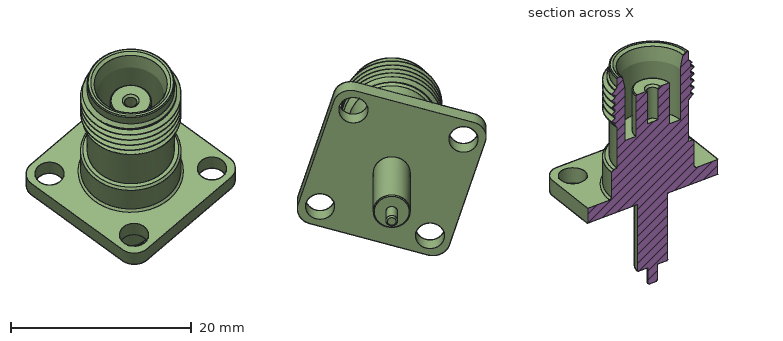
import cadquery as cq
import math

overall_height = 28.9
insulator_bottom = 2.22
flange_bottom = 11.1
flange_top = 13.12
collar_top = 16.95
thread_bottom = 22.33
thread_top = 27.65

flange_side = 17.5
flange_corner_radius = 1.95
mount_hole_diameter = 3.2
mount_hole_spacing = 12.7

pin_radius = 1.3 / 2
pin_chamfer = 0.17
insulator_radius = 4.1 / 2
insulator_chamfer = 0.12
collar_radius = 11.12 / 2
collar_chamfer = 0.25
barrel_radius = 9.65 / 2
rim_chamfer = 0.12

thread_major_radius = 11.12 / 2
thread_root_radius = 5.08
thread_pitch = 4.55 / 5
thread_crest_width = 0.1
thread_flank_angle = 30.0
thread_crest_height = 23.08

mouth_radius = 4.42
taper_top_radius = 4.05
mouth_chamfer_depth = 0.25
taper_depth = 2.0
bore_radius = 3.67
socket_floor = 20.22
core_top = 25.65
core_radius = 4.56 / 2
core_chamfer = 0.12
contact_mouth_radius = 1.85 / 2
contact_hole_radius = 1.35 / 2
contact_hole_depth = 4.33


def revolved(profile):
    """Turn a closed (radius, height) outline about the Z axis."""
    return cq.Workplane("XZ").polyline(profile).close().revolve(360, (0, 0, 0), (0, 1, 0))


def make_flange():
    plate = (
        cq.Workplane("XY", origin=(0, 0, flange_bottom))
        .rect(flange_side, flange_side)
        .extrude(flange_top - flange_bottom)
        .edges("|Z")
        .fillet(flange_corner_radius)
    )
    return (
        plate.faces(">Z")
        .workplane(origin=(0, 0, flange_top))
        .rect(mount_hole_spacing, mount_hole_spacing, forConstruction=True)
        .vertices()
        .hole(mount_hole_diameter)
    )


def make_tail():
    """Insulator and solder pin below the flange."""
    return revolved([
        (0, 0),
        (pin_radius - pin_chamfer, 0),
        (pin_radius, pin_chamfer),
        (pin_radius, insulator_bottom),
        (insulator_radius - insulator_chamfer, insulator_bottom),
        (insulator_radius, insulator_bottom + insulator_chamfer),
        (insulator_radius, flange_top),
        (0, flange_top),
    ])


def make_body():
    """Collar and barrel above the flange, with an uncut ring where the thread goes."""
    ring_chamfer = thread_major_radius - barrel_radius
    return revolved([
        (0, flange_top),
        (collar_radius + collar_chamfer, flange_top),
        (collar_radius, flange_top + collar_chamfer),
        (collar_radius, collar_top - collar_chamfer),
        (collar_radius - collar_chamfer, collar_top),
        (barrel_radius, collar_top),
        (barrel_radius, thread_bottom),
        (thread_major_radius, thread_bottom + ring_chamfer),
        (thread_major_radius, thread_top - ring_chamfer),
        (barrel_radius, thread_top),
        (barrel_radius, overall_height - rim_chamfer),
        (barrel_radius - rim_chamfer, overall_height),
        (0, overall_height),
    ])


def make_groove_turn():
    """One turn of the helical groove, starting at height zero on the +X side."""
    clearance = 0.03
    flank_slope = math.tan(math.radians(thread_flank_angle))
    thread_depth = thread_major_radius - thread_root_radius
    half_at_major = (thread_pitch - thread_crest_width) / 2
    half_at_root = half_at_major - thread_depth * flank_slope
    half_at_outside = half_at_major + clearance * flank_slope
    outer_radius = thread_major_radius + clearance
    profile = [
        (thread_root_radius, -half_at_root),
        (outer_radius, -half_at_outside),
        (outer_radius, half_at_outside),
        (thread_root_radius, half_at_root),
    ]
    helix = cq.Wire.makeHelix(thread_pitch, thread_pitch, thread_root_radius)
    return cq.Workplane("XZ").polyline(profile).close().sweep(cq.Workplane(helix), isFrenet=True)


def cut_thread(body):
    """Cut the groove turn by turn, running out through both chamfers of the ring."""
    turns_below = math.ceil((thread_crest_height - thread_bottom) / thread_pitch)
    start = thread_crest_height - (turns_below + 0.5) * thread_pitch
    turn_count = math.ceil((thread_top - start) / thread_pitch) + 1
    groove_turn = make_groove_turn()
    for turn in range(turn_count):
        height = start + turn * thread_pitch
        body = body.cut(groove_turn.translate((0, 0, height)), clean=False)
    return body


def make_socket():
    """Tapered annular socket around the insulator core, open at the top."""
    cavity = revolved([
        (0, socket_floor),
        (bore_radius, socket_floor),
        (bore_radius, overall_height - taper_depth),
        (taper_top_radius, overall_height - mouth_chamfer_depth),
        (mouth_radius, overall_height),
        (0, overall_height),
    ])
    contact_chamfer = contact_mouth_radius - contact_hole_radius
    core = revolved([
        (0, socket_floor),
        (core_radius, socket_floor),
        (core_radius, core_top - core_chamfer),
        (core_radius - core_chamfer, core_top),
        (contact_mouth_radius, core_top),
        (contact_hole_radius, core_top - contact_chamfer),
        (contact_hole_radius, core_top - contact_hole_depth),
        (0, core_top - contact_hole_depth),
    ])
    return cavity.cut(core)


plain_part = make_flange().union(make_tail()).union(make_body()).cut(make_socket())
result = cq.Workplane(cut_thread(plain_part).solids().val())